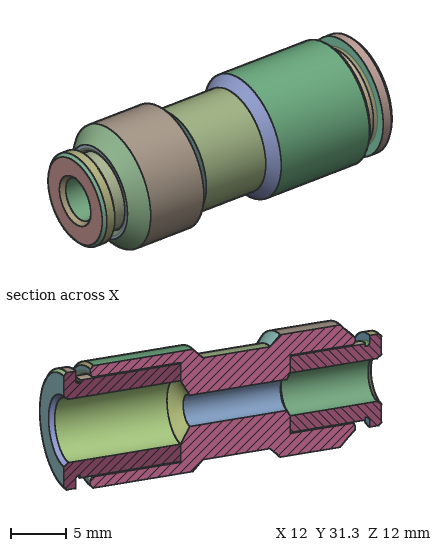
import cadquery as cq
import math

total_length = 31.31
passage_diameter = 3.0

barrel_diameter = 12.0
waist_diameter = 10.0
housing_front = 2.6
housing_rear = total_length - 2.61
front_nose_chamfer = 1.5
rear_edge_chamfer = 0.3
socket_mouth_radius = 0.4
waist_front = 11.0
waist_length = 6.6
waist_rear = waist_front + waist_length
shoulder_chamfer = (barrel_diameter - waist_diameter) / 2

stop_slope = math.tan(math.radians(30))

flange_thickness = 1.2
groove_width = 0.4
groove_fillet = 0.3
flange_chamfer = 0.3
bore_mouth_depth = 0.45

small_flange_diameter = 9.0
small_neck_diameter = 7.5
small_groove_diameter = 7.0
small_tube_diameter = 4.15
small_mouth_diameter = 4.85
small_socket_diameter = 7.6
small_collet_length = 9.0

large_flange_diameter = 11.5
large_neck_diameter = 9.6
large_groove_diameter = 9.05
large_tube_diameter = 6.15
large_mouth_diameter = 6.85
large_socket_diameter = 9.7
large_collet_length = 11.5


def revolve_about_axis(outline):
    """Turn a closed outline of (radius, Y) about the Y axis."""
    return outline.close().revolve(360, (0, 0, 0), (0, 1, 0))


def make_housing():
    """Waisted sleeve with a collet socket in each end and a passage between them."""
    barrel_radius = barrel_diameter / 2
    waist_radius = waist_diameter / 2
    passage_radius = passage_diameter / 2
    small_socket_radius = small_socket_diameter / 2
    small_mouth_radius = small_socket_radius + socket_mouth_radius
    large_socket_radius = large_socket_diameter / 2
    large_mouth_radius = large_socket_radius + socket_mouth_radius
    small_floor = small_collet_length
    large_floor = total_length - large_collet_length
    small_tube_radius = small_tube_diameter / 2
    large_tube_radius = large_tube_diameter / 2
    small_stop_depth = (small_tube_radius - passage_radius) * stop_slope
    large_stop_depth = (large_tube_radius - passage_radius) * stop_slope

    outline = (
        cq.Workplane("XY")
        .moveTo(small_mouth_radius, housing_front)
        .lineTo(barrel_radius - front_nose_chamfer, housing_front)
        .lineTo(barrel_radius, housing_front + front_nose_chamfer)
        .lineTo(barrel_radius, waist_front - shoulder_chamfer)
        .lineTo(waist_radius, waist_front)
        .lineTo(waist_radius, waist_rear)
        .lineTo(barrel_radius, waist_rear + shoulder_chamfer)
        .lineTo(barrel_radius, housing_rear - rear_edge_chamfer)
        .lineTo(barrel_radius - rear_edge_chamfer, housing_rear)
        .lineTo(large_mouth_radius, housing_rear)
        .radiusArc((large_socket_radius, housing_rear - socket_mouth_radius), -socket_mouth_radius)
        .lineTo(large_socket_radius, large_floor)
        .lineTo(large_tube_radius, large_floor)
        .lineTo(passage_radius, large_floor - large_stop_depth)
        .lineTo(passage_radius, small_floor + small_stop_depth)
        .lineTo(small_tube_radius, small_floor)
        .lineTo(small_socket_radius, small_floor)
        .lineTo(small_socket_radius, housing_front + socket_mouth_radius)
        .radiusArc((small_mouth_radius, housing_front), -socket_mouth_radius)
    )
    return revolve_about_axis(outline)


def make_collet(flange_diameter, neck_diameter, groove_diameter, tube_diameter, mouth_diameter, length):
    """Flanged release sleeve with its flange face at Y = 0 and its sleeve toward +Y."""
    flange_radius = flange_diameter / 2
    neck_radius = neck_diameter / 2
    groove_radius = groove_diameter / 2
    tube_radius = tube_diameter / 2
    groove_end = flange_thickness + groove_width

    outline = (
        cq.Workplane("XY")
        .moveTo(mouth_diameter / 2, 0)
        .lineTo(flange_radius - flange_chamfer, 0)
        .lineTo(flange_radius, flange_chamfer)
        .lineTo(flange_radius, flange_thickness)
        .lineTo(groove_radius + groove_fillet, flange_thickness)
        .radiusArc((groove_radius, flange_thickness + groove_fillet), groove_fillet)
        .lineTo(groove_radius, groove_end)
        .lineTo(neck_radius, groove_end)
        .lineTo(neck_radius, length)
        .lineTo(tube_radius, length)
        .lineTo(tube_radius, bore_mouth_depth)
    )
    return revolve_about_axis(outline)


housing = make_housing()

small_collet = make_collet(
    small_flange_diameter, small_neck_diameter, small_groove_diameter,
    small_tube_diameter, small_mouth_diameter, small_collet_length,
)

large_collet = make_collet(
    large_flange_diameter, large_neck_diameter, large_groove_diameter,
    large_tube_diameter, large_mouth_diameter, large_collet_length,
).rotate((0, 0, 0), (0, 0, 1), 180).translate((0, total_length, 0))

result = cq.Compound.makeCompound([housing.val(), small_collet.val(), large_collet.val()])